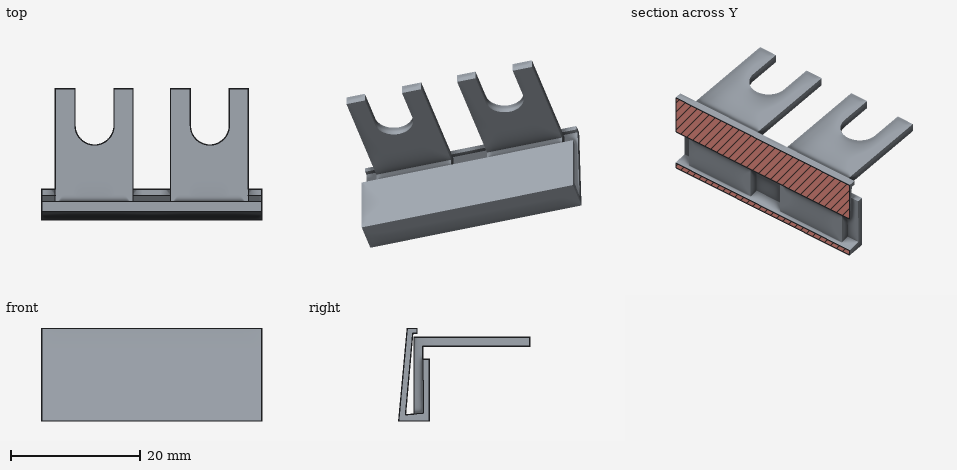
import cadquery as cq

length = 34.0
depth = 20.3
height = 14.3

clip_depth = 4.75
back_wall_height = 9.55
back_wall_root_y = 3.88
floor_back_z = 1.22
floor_front_y = 1.1
floor_front_z = 1.0
front_lean = 1.33
lip_underside_y = 2.2
lip_tip_y = 2.85
lip_thickness = 0.75

sheet = 1.43
leg_front_y = 2.35
leg_back_y = leg_front_y + sheet
arm_top_z = 13.0
arm_width = 12.05
arm_pitch = 17.8

slot_width = 6.0
slot_depth = 8.7
slot_offset = 0.07


def make_clip():
    """Constant YZ section extruded along the full length."""
    outline = [
        (0, 0),
        (clip_depth, 0),
        (clip_depth, back_wall_height),
        (leg_back_y, back_wall_height),
        (back_wall_root_y, floor_back_z),
        (floor_front_y, floor_front_z),
        (lip_underside_y, height - lip_thickness),
        (lip_tip_y, height - lip_thickness),
        (lip_tip_y, height),
        (front_lean, height),
    ]
    return cq.Workplane("YZ").polyline(outline).close().extrude(length / 2, both=True)


def make_bracket(center_x):
    """L-shaped bracket whose leg is sunk into the channel floor and follows the back wall."""
    outline = [
        (leg_front_y, floor_front_z),
        (back_wall_root_y, floor_front_z),
        (back_wall_root_y, floor_back_z),
        (leg_back_y, back_wall_height),
        (leg_back_y, arm_top_z - sheet),
        (depth, arm_top_z - sheet),
        (depth, arm_top_z),
        (leg_front_y, arm_top_z),
    ]
    bracket = cq.Workplane("YZ").polyline(outline).close().extrude(arm_width / 2, both=True)
    return bracket.translate((center_x, 0, 0)).cut(make_slot(center_x + slot_offset))


def make_slot(center_x):
    """Slot cutter with a round inner end, open at the arm tip."""
    radius = slot_width / 2
    round_start_y = depth - slot_depth + radius
    return (
        cq.Workplane("XY")
        .workplane(offset=arm_top_z - sheet)
        .moveTo(center_x - radius, depth)
        .lineTo(center_x - radius, round_start_y)
        .threePointArc((center_x, depth - slot_depth), (center_x + radius, round_start_y))
        .lineTo(center_x + radius, depth)
        .close()
        .extrude(sheet)
    )


result = make_clip()
for side in (-1, 1):
    result = result.union(make_bracket(side * arm_pitch / 2))